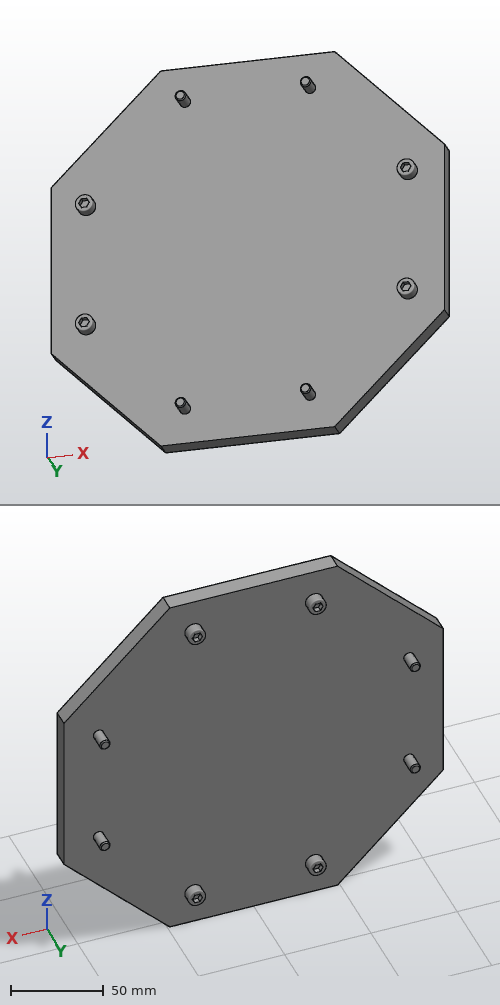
import cadquery as cq
import math

plate_size = 220.0
plate_thickness = 10.0
corner_cut = 61.4

overall_depth = 30.0
shank_diameter = 6.0
shank_protrusion = (overall_depth - plate_thickness) / 2
shank_tip_chamfer = 0.7
head_diameter = 10.0
head_height = 6.0
head_edge_fillet = 0.6
socket_across_flats = 5.0
socket_depth = 3.0

outer_offset = 90.0
inner_offset = 35.0


def make_plate():
    blank = cq.Workplane("XY").box(plate_size, plate_thickness, plate_size)
    return blank.edges("|Y").chamfer(corner_cut)


def make_screw():
    """Screw on the Y axis, head on the -Y face of the plate and tip beyond the +Y face."""
    half_thickness = plate_thickness / 2
    head = (
        cq.Workplane("XZ", origin=(0, -half_thickness, 0))
        .circle(head_diameter / 2)
        .extrude(head_height)
        .faces("<Y")
        .edges()
        .fillet(head_edge_fillet)
    )
    socket_across_corners = socket_across_flats / math.cos(math.pi / 6)
    socket = (
        cq.Workplane("XZ", origin=(0, -half_thickness - head_height, 0))
        .polygon(6, socket_across_corners)
        .extrude(-socket_depth)
    )
    shank = (
        cq.Workplane("XZ", origin=(0, -half_thickness, 0))
        .circle(shank_diameter / 2)
        .extrude(-(plate_thickness + shank_protrusion))
        .faces(">Y")
        .edges()
        .chamfer(shank_tip_chamfer)
    )
    return head.cut(socket).union(shank)


front_screw = make_screw()
back_screw = front_screw.rotate((0, 0, 0), (0, 0, 1), 180)

result = make_plate()
for x_side in (-1, 1):
    for z_side in (-1, 1):
        result = result.union(front_screw.translate((x_side * outer_offset, 0, z_side * inner_offset)))
        result = result.union(back_screw.translate((x_side * inner_offset, 0, z_side * outer_offset)))